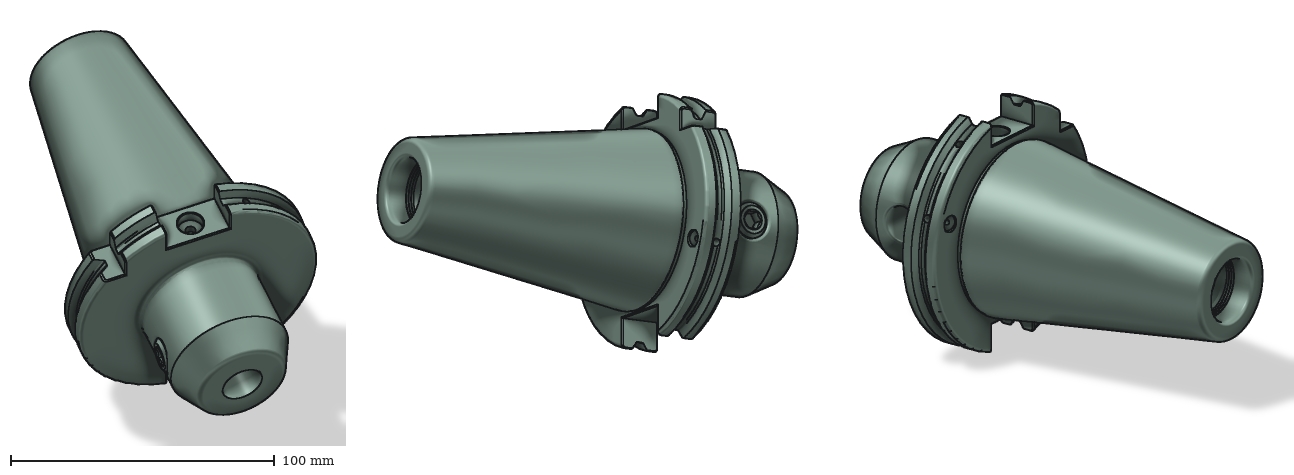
import cadquery as cq
import math


total_length = 164.8
gauge_x = 102.3
flange_start_x = 105.0
flange_end_x = 121.0
nose_cone_x = 151.9

gauge_radius = 35.0
taper_slope = 7 / 48
tail_radius = gauge_radius - taper_slope * gauge_x
tail_fillet = 2.3
neck_radius = 34.5
neck_start_x = 103.3

nose_radius = 24.0
nose_end_radius = 17.8
nose_root_fillet = 2.5
nose_end_fillet = 2.5

flange_radius = 48.8
flange_edge_fillet = 1.5
flange_width = flange_end_x - flange_start_x
groove_x = 112.9
groove_half_width = 3.5
groove_depth = 3.0
groove_wall_angle = 35.0
groove_fillet = 1.0
groove_radius = flange_radius - groove_depth

slot_width = 25.7
upper_slot_floor_z = 37.7
lower_slot_floor_z = -35.5
notch_wall_y = -30.0
notch_floor_z = 30.0
slot_edge_chamfer = 0.5

mouth_fillet = 1.5
pilot_radius = 12.5
pilot_depth = 8.9
step_count = 3
step_length = 1.0
step_height = 0.25
seat_radius = 10.7
bore_radius = 8.0
drill_point_half_angle = 59.0

chip_radius = 5.0
chip_depth = 4.6
chip_chamfer = 0.3
chip_pilot_radius = 2.0
chip_pilot_depth = 3.3

port_pitch_radius = 41.5
port_radius = 3.3
port_tilt = 30.0
port_length = 3.3
channel_radius = 1.0
port_angle = 20.0
port_angles = (port_angle, port_angle + 180)
cross_hole_radius = 1.5
upper_hole_angle = 60.0
cross_hole_angles = (*port_angles, upper_hole_angle)

screw_x = 140.7
screw_radius = 7.0
screw_hole_fillet = 1.2
screw_head_y = -nose_radius
screw_tip_y = -bore_radius
screw_length = screw_tip_y - screw_head_y
screw_chamfer = 1.5
hex_across_flats = 6.6
hex_depth = 5.0
hex_lead_in_radius = 4.0
hex_sides = 6


def turned(points):
    """Solid of revolution about X from an (x, radius) outline."""
    return cq.Workplane("XZ").polyline(points).close().revolve(360, (0, 0), (1, 0))


def rod(start, direction, radius, length):
    return cq.Workplane(cq.Solid.makeCylinder(radius, length, cq.Vector(*start), cq.Vector(*direction)))


def box(x_range, y_range, z_range):
    sizes = [high - low for low, high in (x_range, y_range, z_range)]
    corner = cq.Vector(x_range[0], y_range[0], z_range[0])
    return cq.Workplane(cq.Solid.makeBox(*sizes, corner))


def make_shank():
    shank = turned([(0, 0), (0, tail_radius), (gauge_x, gauge_radius), (gauge_x, 0)])
    shank = shank.faces("<X").edges().fillet(tail_fillet)
    neck = turned([
        (gauge_x, 0),
        (gauge_x, gauge_radius),
        (neck_start_x, gauge_radius),
        (neck_start_x, neck_radius),
        (flange_start_x, neck_radius),
        (flange_start_x, 0),
    ])
    return shank.union(neck)


def make_flange():
    flange = rod((flange_start_x, 0, 0), (1, 0, 0), flange_radius, flange_width)
    flange = flange.edges().fillet(flange_edge_fillet)

    floor_half_width = groove_half_width - groove_depth * math.tan(math.radians(groove_wall_angle))
    groove_profile = (
        cq.Workplane("XY")
        .moveTo(groove_x - groove_half_width, flange_radius)
        .lineTo(groove_x - floor_half_width, groove_radius)
        .lineTo(groove_x + floor_half_width, groove_radius)
        .lineTo(groove_x + groove_half_width, flange_radius)
        .close()
    )
    groove_ring = groove_profile.revolve(360, (0, 0), (1, 0))
    floor_edges = cq.selectors.RadiusNthSelector(0)
    groove_ring = groove_ring.edges(floor_edges).fillet(groove_fillet)
    flange = flange.cut(groove_ring)

    x_range = (flange_start_x, flange_end_x)
    slot_y = (-slot_width / 2, slot_width / 2)
    flange = flange.cut(box(x_range, slot_y, (upper_slot_floor_z, flange_radius)))
    flange = flange.cut(box(x_range, slot_y, (-flange_radius, lower_slot_floor_z)))
    flange = flange.cut(box(x_range, (-flange_radius, notch_wall_y), (notch_floor_z, flange_radius)))
    return flange.faces("<X or >X").edges("|Y or |Z").chamfer(slot_edge_chamfer)


def make_nose():
    nose = turned([
        (flange_end_x, 0),
        (flange_end_x, nose_radius),
        (nose_cone_x, nose_radius),
        (total_length, nose_end_radius),
        (total_length, 0),
    ])
    nose = nose.faces(">X").edges().fillet(nose_end_fillet)
    root_outer = nose_radius + nose_root_fillet
    arc_offset = nose_root_fillet * (1 - math.sqrt(0.5))
    root = (
        cq.Workplane("XY")
        .moveTo(flange_end_x, 0)
        .lineTo(flange_end_x, root_outer)
        .threePointArc(
            (flange_end_x + arc_offset, nose_radius + arc_offset),
            (flange_end_x + nose_root_fillet, nose_radius),
        )
        .lineTo(flange_end_x + nose_root_fillet, 0)
        .close()
        .revolve(360, (0, 0), (1, 0))
    )
    return nose.union(root)


def make_bore():
    """Through bore that narrows in small steps, a 45 degree seat and a drill-point cone."""
    outline = [(0, 0), (0, pilot_radius), (pilot_depth, pilot_radius)]
    for step in range(step_count):
        step_start = pilot_depth + step * step_length
        step_radius = pilot_radius - (step + 1) * step_height
        outline.append((step_start, step_radius))
        outline.append((step_start + step_length, step_radius))
    seat_end = pilot_depth + step_count * step_length + step_radius - seat_radius
    point_length = (seat_radius - bore_radius) / math.tan(math.radians(drill_point_half_angle))
    outline += [
        (seat_end, seat_radius),
        (seat_end + point_length, bore_radius),
        (total_length, bore_radius),
        (total_length, 0),
    ]
    return turned(outline)


def make_chip_pocket():
    pocket_floor_z = upper_slot_floor_z - chip_depth
    rim_radius = chip_radius + chip_chamfer
    point_length = chip_pilot_radius / math.tan(math.radians(drill_point_half_angle))
    pilot_end_z = pocket_floor_z - chip_pilot_depth
    profile = [
        (0, upper_slot_floor_z),
        (rim_radius, upper_slot_floor_z),
        (chip_radius, upper_slot_floor_z - chip_chamfer),
        (chip_radius, pocket_floor_z),
        (chip_pilot_radius, pocket_floor_z),
        (chip_pilot_radius, pilot_end_z),
        (0, pilot_end_z - point_length),
    ]
    pocket = cq.Workplane("XZ").polyline(profile).close().revolve(360, (0, 0), (0, 1))
    return pocket.translate((groove_x, 0, 0))


def port_point(x):
    """Point at a given x on the centre line of the leaning coolant port on the +Y side."""
    lean = math.tan(math.radians(port_tilt))
    return (x, port_pitch_radius - lean * (x - flange_start_x), 0)


def make_coolant_port():
    """Flat-bottomed port leaning toward the axis, and the narrow channel on to the cross hole."""
    lean = math.radians(port_tilt)
    direction = (math.cos(lean), -math.sin(lean), 0)
    overrun = port_radius * math.tan(lean)
    start = port_point(flange_start_x - overrun * math.cos(lean))
    port = rod(start, direction, port_radius, port_length + overrun)
    channel_length = (groove_x - flange_start_x) / math.cos(lean)
    channel = rod(port_point(flange_start_x), direction, channel_radius, channel_length)
    return port.union(channel)


def make_cross_hole():
    """Radial hole on the +Y side, from the groove down to the level of the coolant channel."""
    inner_radius = port_point(groove_x)[1]
    return rod((groove_x, inner_radius, 0), (0, 1, 0), cross_hole_radius, flange_radius - inner_radius)


def about_axis(shape, angle):
    return shape.rotate((0, 0, 0), (1, 0, 0), angle)


def make_drilled_nose():
    """Nose with the screw hole crossing both of its sides, each rim rounded."""
    hole = rod((screw_x, -flange_radius, 0), (0, 1, 0), screw_radius, 2 * flange_radius)
    nose = make_nose().cut(hole)
    reach = screw_radius + screw_hole_fillet
    around_hole = cq.selectors.BoxSelector(
        (screw_x - reach, -flange_radius, -reach),
        (screw_x + reach, flange_radius, reach),
    )
    return nose.edges(around_hole).fillet(screw_hole_fillet)


def make_holder():
    holder = make_shank().union(make_flange()).union(make_drilled_nose()).cut(make_bore())
    holder = holder.faces("<X").edges(cq.selectors.RadiusNthSelector(0)).fillet(mouth_fillet)
    holder = holder.cut(make_chip_pocket())
    for angle in port_angles:
        holder = holder.cut(about_axis(make_coolant_port(), angle))
    for angle in cross_hole_angles:
        holder = holder.cut(about_axis(make_cross_hole(), angle))
    return holder


def make_screw():
    screw = rod((screw_x, screw_head_y, 0), (0, 1, 0), screw_radius, screw_length)
    screw = screw.faces("<Y").edges().chamfer(screw_chamfer)
    head_plane = cq.Workplane("XZ", origin=(screw_x, screw_head_y, 0))
    across_corners = hex_across_flats / math.cos(math.pi / hex_sides)
    hex_socket = head_plane.polygon(hex_sides, across_corners).extrude(-hex_depth)
    lead_in = cq.Workplane(cq.Solid.makeCone(
        hex_lead_in_radius,
        0,
        hex_lead_in_radius,
        cq.Vector(screw_x, screw_head_y, 0),
        cq.Vector(0, 1, 0),
    ))
    return screw.cut(hex_socket).cut(lead_in)


holder = make_holder()
screw = make_screw()
result = cq.Compound.makeCompound([holder.val(), screw.val()])